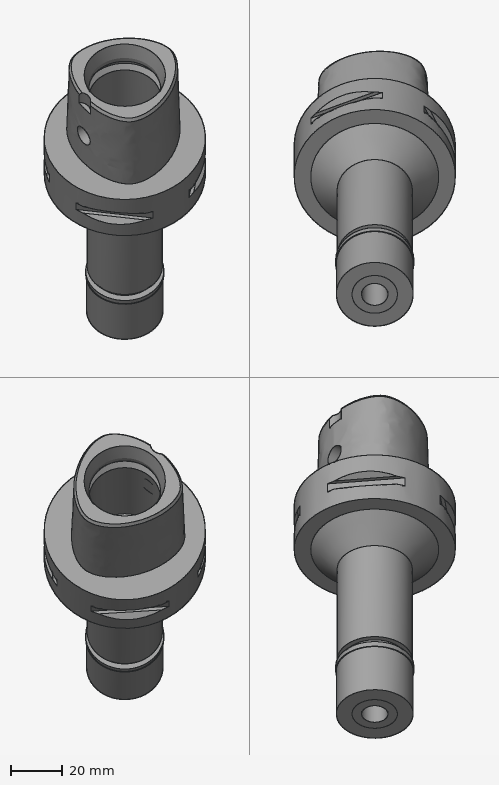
import cadquery as cq
import math

total_height = 143.0
polygon_height = 38.0
flange_height = 22.0
cone_height = 10.0
nut_height = 24.0
neck_gap = 3.0

flange_top = total_height - polygon_height
flange_bottom = flange_top - flange_height
cone_bottom = flange_bottom - cone_height
shaft_bottom = nut_height + neck_gap

flange_diameter = 63.0
flange_radius = flange_diameter / 2
cone_top_radius = 25.0
shaft_radius = 14.7
nose_radius = 12.7

polygon_mean_radius = 22.2
lobe_height = 1.6
taper_per_height = 0.025
tip_chamfer_height = 1.3
tip_chamfer_inset = 0.9
outline_points = 24

notch_radius = 4.6
notch_apex_y = -17.7
notch_depth = 6.1
side_hole_radius = 4.1
side_hole_drop = 22.5
side_hole_floor_y = -14.3

groove_count = 4
groove_start_angle = 45.0
groove_drop = 49.8
groove_floor_distance = 27.6
groove_flank_distance = 29.0
groove_floor_width = 4.0
groove_mouth_width = 7.3

bore_radius = 14.0
mouth_radius = 15.9
mouth_cone_depth = 6.5
undercut_radius = 15.9
undercut_start_depth = 8.3
undercut_end_depth = 11.7
undercut_chamfer = undercut_radius - bore_radius
bore_floor = flange_top - flange_height / 2

collet_rear_radius = 8.9
collet_front_radius = 10.6
collet_bore_radius = 5.1
collet_rear = 31.5
collet_shoulder = 5.7

nut_radius = 15.0
collar_radius = 15.3
collar_height = 2.3


def revolved(profile):
    """Solid of revolution about Z from (radius, height) points."""
    return cq.Workplane("XZ").polyline(profile).close().revolve(360, (0, 0), (0, 1))


def polygon_point(angle, mean_radius):
    """Point of the three-lobed polygon whose outward normal has the given angle."""
    lobe_phase = 3 * (angle - math.pi / 2)
    support = mean_radius + lobe_height * math.cos(lobe_phase)
    slope = -3 * lobe_height * math.sin(lobe_phase)
    x = support * math.cos(angle) - slope * math.sin(angle)
    y = support * math.sin(angle) + slope * math.cos(angle)
    return x, y


def polygon_wire(mean_radius, height):
    """Closed polygon outline at one height, starting on the -Y side."""
    points = []
    for index in range(outline_points):
        x, y = polygon_point(2 * math.pi * index / outline_points - math.pi / 2, mean_radius)
        points.append(cq.Vector(x, y, height))
    return cq.Wire.assembleEdges([cq.Edge.makeSpline(points, periodic=True)])


def polygon_shank():
    """Tapered three-lobed shank with a chamfered tip."""
    tip_edge = total_height - tip_chamfer_height
    tip_radius = polygon_mean_radius - taper_per_height * (tip_edge - flange_top)
    base = polygon_wire(polygon_mean_radius, flange_top)
    edge = polygon_wire(tip_radius, tip_edge)
    tip = polygon_wire(tip_radius - tip_chamfer_inset, total_height)
    taper = cq.Solid.makeLoft([base, edge], True)
    chamfer = cq.Solid.makeLoft([edge, tip], True)
    return cq.Workplane(taper).union(cq.Workplane(chamfer))


def adapter_outside():
    """Flange, cone, shaft and nose below the polygon shank."""
    turned = revolved([
        (0, flange_top),
        (flange_radius, flange_top),
        (flange_radius, flange_bottom),
        (cone_top_radius, flange_bottom),
        (shaft_radius, cone_bottom),
        (shaft_radius, shaft_bottom),
        (nose_radius, shaft_bottom),
        (nose_radius, collet_shoulder),
        (0, collet_shoulder),
    ])
    return turned.union(polygon_shank())


def adapter_bore():
    """Conical mouth, undercut, main bore, through bore and conical collet seat."""
    return revolved([
        (0, total_height),
        (mouth_radius, total_height),
        (bore_radius, total_height - mouth_cone_depth),
        (bore_radius, total_height - undercut_start_depth),
        (undercut_radius, total_height - undercut_start_depth),
        (undercut_radius, total_height - undercut_end_depth),
        (bore_radius, total_height - undercut_end_depth - undercut_chamfer),
        (bore_radius, bore_floor),
        (collet_rear_radius, bore_floor),
        (collet_rear_radius, collet_rear),
        (collet_front_radius, collet_shoulder),
        (0, collet_shoulder),
    ])


def key_notch():
    """Round-backed notch open to the tip and to the -Y side."""
    notch = cq.Workplane("XY").workplane(offset=total_height - notch_depth)
    return notch.center(0, notch_apex_y - notch_radius).circle(notch_radius).extrude(notch_depth)


def side_hole():
    """Flat-bottomed blind hole running in from the -Y side."""
    start = cq.Vector(0, -flange_radius, total_height - side_hole_drop)
    length = flange_radius + side_hole_floor_y
    return cq.Workplane(cq.Solid.makeCylinder(side_hole_radius, length, start, cq.Vector(0, 1, 0)))


def gripper_groove(angle):
    """Straight square-bottomed groove with flared flanks, cut across the flange rim at the given angle."""
    middle = total_height - groove_drop
    half_floor = groove_floor_width / 2
    half_mouth = groove_mouth_width / 2
    profile = [
        (groove_floor_distance, middle - half_floor),
        (groove_flank_distance, middle - half_floor),
        (flange_radius, middle - half_mouth),
        (flange_radius, middle + half_mouth),
        (groove_flank_distance, middle + half_floor),
        (groove_floor_distance, middle + half_floor),
    ]
    groove = cq.Workplane("XZ").polyline(profile).close().extrude(flange_radius, both=True)
    return groove.rotate((0, 0, 0), (0, 0, 1), angle)


def make_adapter():
    adapter = adapter_outside().cut(adapter_bore()).cut(key_notch()).cut(side_hole())
    for index in range(groove_count):
        angle = groove_start_angle + index * 360 / groove_count
        adapter = adapter.cut(gripper_groove(angle))
    return adapter


def make_collet():
    """Double-cone sleeve clamped between the adapter seat and the nut."""
    return revolved([
        (collet_bore_radius, 0),
        (collet_rear_radius, 0),
        (collet_front_radius, collet_shoulder),
        (collet_rear_radius, collet_rear),
        (collet_bore_radius, collet_rear),
    ])


def make_nut():
    """Collared nut around the nose, with a conical lip holding the collet."""
    return revolved([
        (collet_rear_radius, 0),
        (nut_radius, 0),
        (nut_radius, nut_height - collar_height),
        (collar_radius, nut_height - collar_height),
        (collar_radius, nut_height),
        (nose_radius, nut_height),
        (nose_radius, collet_shoulder),
        (collet_front_radius, collet_shoulder),
    ])


adapter = make_adapter().solids()
collet = make_collet()
nut = make_nut()

result = cq.Compound.makeCompound([adapter.val(), collet.val(), nut.val()])